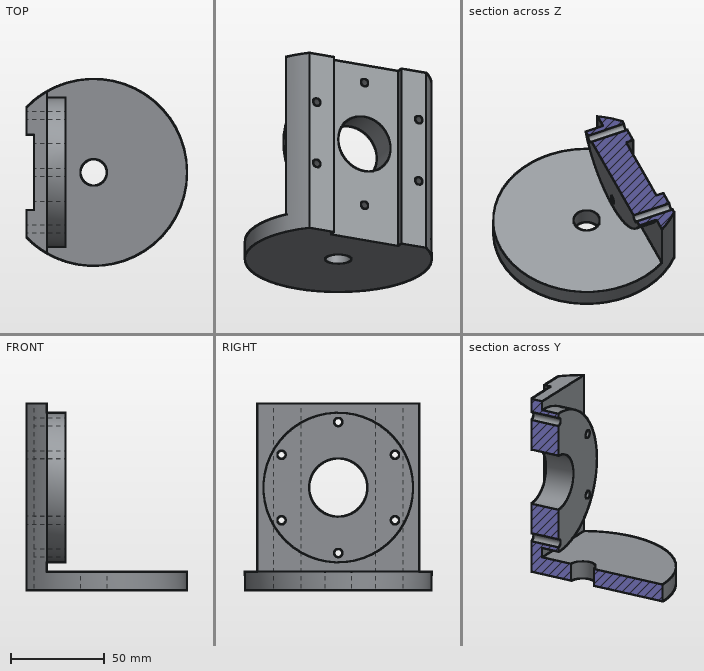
import cadquery as cq

base_diameter = 100.0
base_thickness = 10.0
flat_x = -36.0
shaft_hole_diameter = 14.0

height = 100.0
wall_thickness = 11.0
wall_inner_x = flat_x + wall_thickness
channel_width = 40.0
channel_depth = 4.0

boss_diameter = 80.0
boss_thickness = 10.0
boss_center_z = 55.0
bore_diameter = 31.0
screw_diameter = 4.3
screw_circle_diameter = 70.0
screw_count = 6
screw_start_angle = 90.0


def block(x_min, x_max, width, block_height):
    """Block standing on Z = 0 and centred on Y = 0."""
    return (
        cq.Workplane("XY")
        .box(x_max - x_min, width, block_height, centered=(False, True, False))
        .translate((x_min, 0, 0))
    )


def make_base():
    disc = cq.Workplane("XY").circle(base_diameter / 2).extrude(base_thickness)
    return disc.intersect(block(flat_x, base_diameter / 2, base_diameter, base_thickness))


def make_wall():
    column = cq.Workplane("XY").circle(base_diameter / 2).extrude(height)
    return column.intersect(block(flat_x, wall_inner_x, base_diameter, height))


def boss_plane(x):
    """Plane facing +X, with its origin on the boss axis."""
    return cq.Workplane("YZ", origin=(x, 0, boss_center_z))


def make_boss():
    return boss_plane(wall_inner_x).circle(boss_diameter / 2).extrude(boss_thickness)


def make_wall_holes():
    depth = wall_thickness + boss_thickness
    bore = boss_plane(flat_x).circle(bore_diameter / 2).extrude(depth)
    screws = (
        boss_plane(flat_x)
        .polarArray(screw_circle_diameter / 2, screw_start_angle, 360, screw_count)
        .circle(screw_diameter / 2)
        .extrude(depth)
    )
    return bore.union(screws)


shaft_hole = cq.Workplane("XY").circle(shaft_hole_diameter / 2).extrude(base_thickness)
channel = block(flat_x, flat_x + channel_depth, channel_width, height)

result = (
    make_base()
    .union(make_wall())
    .union(make_boss())
    .cut(channel)
    .cut(make_wall_holes())
    .cut(shaft_hole)
)